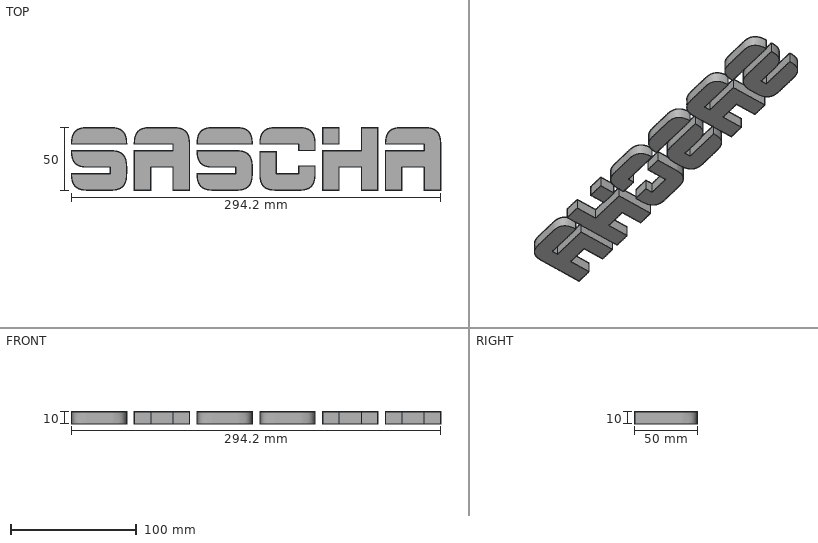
import cadquery as cq

row_length = 294.2
letter_height = 50.0
thickness = 10.0
letter_count = 6
letter_gap = 6.0

stroke = 13.2
corner_length = 12.7
corner_fullness = 0.7
c_column_top = 31.0
c_lower_tip = 19.5

letter_width = (row_length - (letter_count - 1) * letter_gap) / letter_count
pitch = letter_width + letter_gap
slot = (letter_height - 3 * stroke) / 2
right_leg = letter_width - stroke
middle_bottom = stroke + slot
middle_top = middle_bottom + stroke
top_bar_bottom = letter_height - stroke
left_bend = corner_length
right_bend = letter_width - corner_length


def letter_origin(index):
    """Start a sketch at the lower left corner of the letter at this place in the row."""
    return cq.Workplane("XY", origin=(index * pitch, 0, 0))


def extrude_outline(outline):
    return outline.close().extrude(thickness).val()


def rounded_corner(outline, start, corner, end):
    """Draw a smooth bend from start to end that replaces the sharp corner."""
    def toward_corner(point):
        return tuple(p + corner_fullness * (c - p) for p, c in zip(point, corner))

    return outline.bezier([start, toward_corner(start), toward_corner(end), end])


def upper_left_corner(outline):
    return rounded_corner(
        outline, (0, top_bar_bottom), (0, letter_height), (left_bend, letter_height))


def upper_right_corner(outline):
    return rounded_corner(
        outline,
        (right_bend, letter_height), (letter_width, letter_height), (letter_width, top_bar_bottom))


def lower_right_corner(outline):
    return rounded_corner(outline, (letter_width, stroke), (letter_width, 0), (right_bend, 0))


def lower_left_corner(outline):
    return rounded_corner(outline, (left_bend, 0), (0, 0), (0, stroke))


def s_cap(index):
    """Separate top bar of an S, rounded at both upper corners."""
    outline = letter_origin(index).moveTo(0, top_bar_bottom)
    outline = upper_left_corner(outline).lineTo(right_bend, letter_height)
    outline = upper_right_corner(outline)
    return extrude_outline(outline)


def s_body(index):
    """Middle and bottom bars of an S, joined along the right side."""
    outline = letter_origin(index).moveTo(0, middle_top).lineTo(right_bend, middle_top)
    outline = rounded_corner(
        outline,
        (right_bend, middle_top), (letter_width, middle_top), (letter_width, middle_bottom))
    outline = outline.lineTo(letter_width, stroke)
    outline = lower_right_corner(outline).lineTo(left_bend, 0)
    outline = lower_left_corner(outline)
    outline = outline.lineTo(right_leg, stroke).lineTo(right_leg, middle_bottom)
    outline = outline.lineTo(left_bend, middle_bottom)
    outline = rounded_corner(
        outline, (left_bend, middle_bottom), (0, middle_bottom), (0, middle_top))
    return extrude_outline(outline)


def letter_a(index):
    """Whole A: top bar and middle bar on a full right leg, and a short left leg."""
    outline = letter_origin(index).moveTo(0, top_bar_bottom)
    outline = upper_left_corner(outline).lineTo(right_bend, letter_height)
    outline = upper_right_corner(outline).lineTo(letter_width, 0).lineTo(right_leg, 0)
    outline = outline.lineTo(right_leg, middle_bottom).lineTo(stroke, middle_bottom)
    outline = outline.lineTo(stroke, 0).lineTo(0, 0).lineTo(0, middle_top)
    outline = outline.lineTo(right_leg, middle_top).lineTo(right_leg, top_bar_bottom)
    return extrude_outline(outline)


def c_cap(index):
    """Top bar of the C with a short tip down its right side."""
    outline = letter_origin(index).moveTo(0, top_bar_bottom)
    outline = upper_left_corner(outline).lineTo(right_bend, letter_height)
    outline = upper_right_corner(outline).lineTo(letter_width, middle_top)
    outline = outline.lineTo(right_leg, middle_top).lineTo(right_leg, top_bar_bottom)
    return extrude_outline(outline)


def c_body(index):
    """Left column, bottom bar and short upward right leg of the C."""
    outline = letter_origin(index).moveTo(0, c_column_top).lineTo(stroke, c_column_top)
    outline = outline.lineTo(stroke, stroke).lineTo(right_leg, stroke)
    outline = outline.lineTo(right_leg, c_lower_tip).lineTo(letter_width, c_lower_tip)
    outline = outline.lineTo(letter_width, stroke)
    outline = lower_right_corner(outline).lineTo(left_bend, 0)
    outline = lower_left_corner(outline)
    return extrude_outline(outline)


def h_block(index):
    """Separate square block at the upper left of the H."""
    outline = letter_origin(index).moveTo(0, top_bar_bottom).lineTo(0, letter_height)
    outline = outline.lineTo(stroke, letter_height).lineTo(stroke, top_bar_bottom)
    return extrude_outline(outline)


def h_body(index):
    """Full right leg, middle bar and short left leg of the H."""
    outline = letter_origin(index).moveTo(0, 0).lineTo(0, middle_top)
    outline = outline.lineTo(right_leg, middle_top).lineTo(right_leg, letter_height)
    outline = outline.lineTo(letter_width, letter_height).lineTo(letter_width, 0)
    outline = outline.lineTo(right_leg, 0).lineTo(right_leg, middle_bottom)
    outline = outline.lineTo(stroke, middle_bottom).lineTo(stroke, 0)
    return extrude_outline(outline)


s_places = (0, 2)
a_places = (1, 5)
c_place = 3
h_place = 4

s_caps = [s_cap(place) for place in s_places]
s_bodies = [s_body(place) for place in s_places]
a_letters = [letter_a(place) for place in a_places]
c_parts = [c_cap(c_place), c_body(c_place)]
h_parts = [h_block(h_place), h_body(h_place)]

result = cq.Compound.makeCompound([*s_caps, *s_bodies, *a_letters, *c_parts, *h_parts])